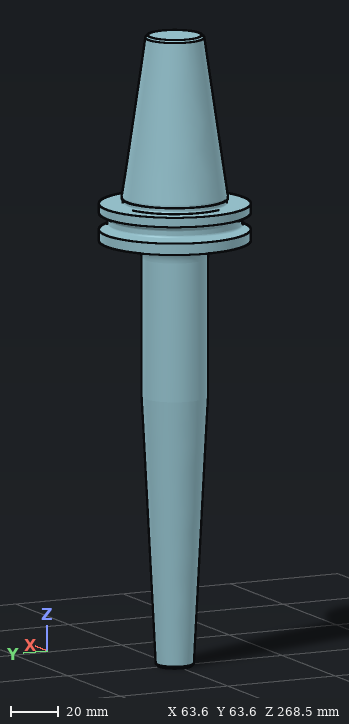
import cadquery as cq
import math

length = 268.5
gauge_z = 200.0
gauge_radius = 22.22
taper_per_length = 7 / 24
shank_chamfer = 1.0
gauge_band_height = 1.0

relief_radius = 21.7
relief_outer_radius = 23.5
relief_depth = 0.5
relief_fillet = 0.8

flange_radius = 31.8
flange_top_z = 196.7
flange_bottom_z = 181.0
groove_floor_radius = 28.2
groove_top_z = 192.7
groove_floor_top_z = 190.8
groove_floor_bottom_z = 187.5
groove_bottom_z = 185.7
groove_fillet = 1.0

body_radius = 14.0
body_fillet = 8.0
body_fillet_start_z = 173.7
cone_top_z = 114.5
tip_radius = 8.0
tip_chamfer = 1.0


def fillet_offset(height):
    """Distance the body fillet flares outward at a height above its start."""
    return body_fillet - math.sqrt(body_fillet**2 - height**2)


shank_edge_z = length - shank_chamfer
shank_edge_radius = gauge_radius - (shank_edge_z - gauge_z) * taper_per_length / 2
gauge_band_bottom_z = gauge_z - gauge_band_height

flare_height = flange_bottom_z - body_fillet_start_z
flare_middle = (
    body_radius + fillet_offset(flare_height / 2),
    body_fillet_start_z + flare_height / 2,
)
flare_end = (body_radius + fillet_offset(flare_height), flange_bottom_z)

relief_floor_z = flange_top_z - relief_depth

edge_tolerance = 0.003

profile = (
    cq.Workplane("XZ")
    .moveTo(0, 0)
    .lineTo(tip_radius - tip_chamfer, 0)
    .lineTo(tip_radius, tip_chamfer)
    .lineTo(body_radius, cone_top_z)
    .lineTo(body_radius, body_fillet_start_z)
    .threePointArc(flare_middle, flare_end)
    .lineTo(flange_radius, flange_bottom_z)
    .lineTo(flange_radius, groove_bottom_z)
    .lineTo(groove_floor_radius, groove_floor_bottom_z)
    .lineTo(groove_floor_radius, groove_floor_top_z)
    .lineTo(flange_radius, groove_top_z)
    .lineTo(flange_radius, flange_top_z)
    .lineTo(relief_outer_radius, flange_top_z)
    .lineTo(relief_radius, relief_floor_z)
    .lineTo(relief_radius, gauge_band_bottom_z)
    .lineTo(gauge_radius, gauge_band_bottom_z)
    .lineTo(gauge_radius, gauge_z)
    .lineTo(shank_edge_radius, shank_edge_z)
    .lineTo(shank_edge_radius - shank_chamfer, length)
    .lineTo(0, length)
    .close()
)

body = profile.revolve(360, (0, 0, 0), (0, 1, 0))


def fillet_ring(solid, ring_radius, ring_z, fillet_radius):
    """Round the circular edge that has the given radius and height."""
    edges = [
        edge
        for edge in solid.edges("%CIRCLE").vals()
        if math.isclose(edge.radius(), ring_radius, abs_tol=edge_tolerance)
        and math.isclose(edge.arcCenter().z, ring_z, abs_tol=edge_tolerance)
    ]
    return solid.newObject(edges).fillet(fillet_radius)


for floor_edge_z in (groove_floor_bottom_z, groove_floor_top_z):
    body = fillet_ring(body, groove_floor_radius, floor_edge_z, groove_fillet)

result = fillet_ring(body, relief_radius, relief_floor_z, relief_fillet)